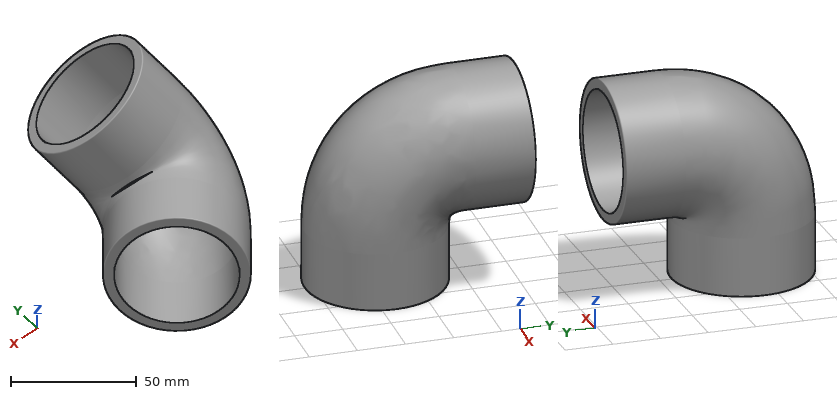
import cadquery as cq

overall_size = 87.5
outer_diameter = 59.0
bore_diameter = 50.0
end_length = 24.9
rim_round = 0.5
bend_fullness = 0.61

outer_radius = outer_diameter / 2
bore_radius = bore_diameter / 2
bend_size = overall_size - outer_radius - end_length
handle_length = bend_fullness * bend_size

lower_plane = cq.Plane(origin=(0, 0, 0), xDir=(1, 0, 0), normal=(0, 0, -1))
rear_plane = cq.Plane(origin=(0, bend_size, bend_size), xDir=(1, 0, 0), normal=(0, 1, 0))

bend_path = cq.Workplane("YZ").bezier(
    [
        (0, 0),
        (0, handle_length),
        (bend_size - handle_length, bend_size),
        (bend_size, bend_size),
    ]
)


def curved_bend(radius):
    """Round bar swept along the centreline of the bend."""
    return cq.Workplane("XY").circle(radius).sweep(bend_path)


def straight_end(plane, radius):
    """Cylinder running outward from one end of the bend."""
    return cq.Workplane(plane).circle(radius).extrude(end_length)


def rounded_end(plane):
    """Straight pipe end with a rounded outer rim."""
    outward = cq.selectors.DirectionMinMaxSelector(plane.zDir, True)
    return straight_end(plane, outer_radius).faces(outward).edges().fillet(rim_round)


elbow = curved_bend(outer_radius)
bore = curved_bend(bore_radius)
for plane in (lower_plane, rear_plane):
    elbow = elbow.union(rounded_end(plane))
    bore = bore.union(straight_end(plane, bore_radius))

result = elbow.cut(bore)